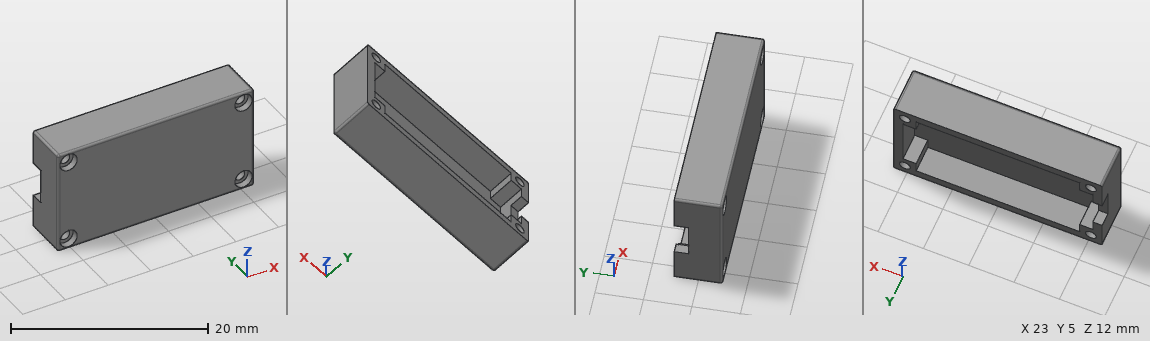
import cadquery as cq

length = 23.0
depth = 5.0
height = 12.0
edge_radius = 0.25

wall = 1.04
front_thickness = 2.0
cavity_depth = depth - front_thickness

hole_inset = 1.25
hole_diameter = 1.2
counterbore_diameter = 2.0
counterbore_depth = 0.8
post_size = 2 * hole_inset

notch_height = 4.0
notch_depth = 1.5

back_y = depth / 2
hole_spacing_x = length - 2 * hole_inset
hole_spacing_z = height - 2 * hole_inset


def make_shell():
    """Box rounded everywhere except around its flat back face."""
    return cq.Workplane("XY").box(length, depth, height).edges("not >Y").fillet(edge_radius)


def make_cavity():
    """Interior space, leaving a square post around each screw hole."""
    space = cq.Workplane("XY").box(length - 2 * wall, cavity_depth, height - 2 * wall)
    posts = (
        cq.Workplane("XZ", origin=(0, cavity_depth / 2, 0))
        .rarray(length - post_size, height - post_size, 2, 2)
        .rect(post_size, post_size)
        .extrude(cavity_depth)
    )
    return space.cut(posts).translate((0, back_y - cavity_depth / 2, 0))


def make_notch():
    """Rectangular opening through the wall at the -X end."""
    return cq.Workplane("XY").box(wall, notch_depth, notch_height).translate(
        (-(length - wall) / 2, back_y - notch_depth / 2, 0)
    )


def cut_screw_holes(body):
    """Four through holes, counterbored from the front face."""
    return (
        body.faces("<Y")
        .workplane(centerOption="CenterOfBoundBox")
        .rarray(hole_spacing_x, hole_spacing_z, 2, 2)
        .cboreHole(hole_diameter, counterbore_diameter, counterbore_depth)
    )


result = cut_screw_holes(make_shell().cut(make_cavity()).cut(make_notch()))